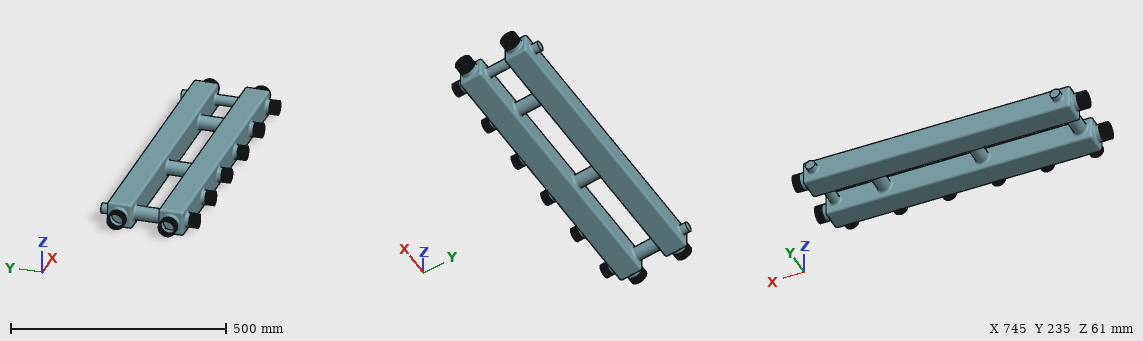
import cadquery as cq

overall_length = 745
overall_depth = 235.0

bar_size = 61.0
bar_spacing = 125.0
bar_edge_radius = 6.0
end_nipple_length = 31.0
bar_length = overall_length - 2 * end_nipple_length

outlet_count = 6
outlet_pitch = 125.0
outlet_nipple_length = 28.0
outlet_x = [(i - (outlet_count - 1) / 2) * outlet_pitch for i in range(outlet_count)]

front_bar_y = -overall_depth / 2 + outlet_nipple_length + bar_size / 2
back_bar_y = front_bar_y + bar_spacing
stub_length = overall_depth / 2 - (back_bar_y + bar_size / 2)

end_nipple_diameter = 42.0
end_bore_diameter = 36.5
outlet_diameter = 34.0
outlet_bore_diameter = 30.0
large_pipe_diameter = 34.0
small_pipe_diameter = 24.5

thread_length = 18.5
thread_pitch = 2.3
thread_depth = 1.5

end_weld_radius = 3.0
pipe_weld_radius = 5.0
stub_weld_radius = 4.5

embed = 7.5


def header_bar(y):
    bar = cq.Workplane("XY").box(bar_length, bar_size, bar_size)
    return bar.edges().fillet(bar_edge_radius).translate((0, y, 0))


def revolved(profile, base, direction):
    """Revolve a (radius, height) profile about its height axis and stand it on a bar face."""
    solid = profile.close().revolve(360, (0, 0, 0), (0, 1, 0)).val()
    turn = {"+Y": 0, "-X": 90, "-Y": 180, "+X": 270}[direction]
    return solid.rotate(cq.Vector(0, 0, 0), cq.Vector(0, 0, 1), turn).translate(cq.Vector(*base))


def welded_foot(radius, weld):
    """Start a pipe profile: embedded root, then the concave weld bead up to the pipe wall."""
    foot = cq.Workplane("XY").moveTo(0, -embed).lineTo(radius + weld, -embed).lineTo(radius + weld, 0)
    return foot.radiusArc((radius, weld), weld)


def plain_pipe(length, diameter, weld, base, direction):
    radius = diameter / 2
    profile = welded_foot(radius, weld).lineTo(radius, length).lineTo(0, length)
    return revolved(profile, base, direction)


def threaded_nipple(length, diameter, bore_diameter, weld, base, direction):
    """Open-ended nipple, bored down to the bar face and threaded near its mouth."""
    radius = diameter / 2
    bore_radius = bore_diameter / 2
    profile = welded_foot(radius, weld)
    thread_start = length - thread_length
    profile = profile.lineTo(radius, thread_start)
    for i in range(int(thread_length / thread_pitch)):
        groove = thread_start + i * thread_pitch
        profile = profile.lineTo(radius - thread_depth, groove + thread_pitch / 2)
        profile = profile.lineTo(radius, groove + thread_pitch)
    profile = profile.lineTo(radius, length).lineTo(bore_radius, length)
    profile = profile.lineTo(bore_radius, 0).lineTo(0, 0)
    return revolved(profile, base, direction)


def connecting_pipe(x, diameter):
    """Pipe across the gap between the bars, with a weld bead at each end."""
    radius = diameter / 2
    gap = bar_spacing - bar_size
    profile = welded_foot(radius, pipe_weld_radius).lineTo(radius, gap - pipe_weld_radius)
    profile = profile.radiusArc((radius + pipe_weld_radius, gap), pipe_weld_radius)
    profile = profile.lineTo(radius + pipe_weld_radius, gap + embed).lineTo(0, gap + embed)
    return revolved(profile, (x, front_bar_y + bar_size / 2, 0), "+Y")


result = header_bar(front_bar_y).union(header_bar(back_bar_y))

for bar_y in (front_bar_y, back_bar_y):
    for side, direction in ((-1, "-X"), (1, "+X")):
        base = (side * bar_length / 2, bar_y, 0)
        result = result.union(
            threaded_nipple(
                end_nipple_length, end_nipple_diameter, end_bore_diameter, end_weld_radius, base, direction
            )
        )

for x in outlet_x:
    base = (x, front_bar_y - bar_size / 2, 0)
    result = result.union(
        threaded_nipple(
            outlet_nipple_length, outlet_diameter, outlet_bore_diameter, pipe_weld_radius, base, "-Y"
        )
    )

for x in outlet_x[::2]:
    result = result.union(connecting_pipe(x, large_pipe_diameter))
result = result.union(connecting_pipe(outlet_x[-1], small_pipe_diameter))

for x in (outlet_x[0], outlet_x[-1]):
    base = (x, back_bar_y + bar_size / 2, 0)
    result = result.union(plain_pipe(stub_length, small_pipe_diameter, stub_weld_radius, base, "+Y"))

result = result.clean()